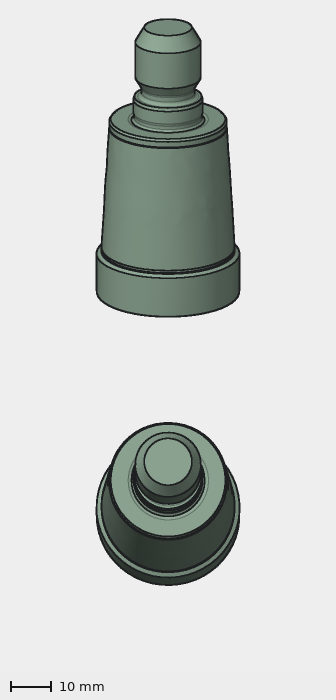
import cadquery as cq
import math

total_height = 69.0
housing_top = 45.1

head_radius = 16.0 / 2
neck_radius = 13.0 / 2
collar_radius = 17.0 / 2
foot_radius = 16.6 / 2

head_cone_angle = math.radians(30)
head_upper_edge = 65.2
head_lower_edge = 56.0
neck_upper_fillet = 0.8
neck_lower_fillet = 1.0
collar_top = 51.05
collar_bottom = 46.4
collar_top_chamfer = (0.3, 0.8)
collar_bottom_chamfer_height = 0.7
foot_fillet = 0.6

cap_radius = 28.8 / 2
cap_chamfer = (0.4, 0.6)
cap_groove_bottom = 42.85
cap_groove_width = 0.2
groove_depth = 0.1
taper_base_radius = 16.3
taper_bulge = 0.1
base_groove_top = 11.7
base_groove_bottom = 11.1
rim_radius = 34.9 / 2
shoulder_top = 10.8
shoulder_bottom = 10.2
rim_bottom_fillet = 0.4

dish_radius = 9.8
dish_depth = 0.2
seat_radius = foot_radius + foot_fillet
seat_height = housing_top - dish_depth

ARC_MID = math.sqrt(0.5)


def make_stud():
    """Revolved stud: coned head, filleted neck, collar and flared foot."""
    top_radius = head_radius - (total_height - head_upper_edge) * math.tan(head_cone_angle)

    blend_center_radius = neck_radius + neck_upper_fillet
    blend_radius = blend_center_radius - neck_upper_fillet * math.cos(head_cone_angle)
    blend_top = head_lower_edge - (head_radius - blend_radius) / math.tan(head_cone_angle)
    blend_bottom = blend_top - neck_upper_fillet * math.sin(head_cone_angle)
    half_angle = head_cone_angle / 2
    blend_mid = (
        blend_center_radius - neck_upper_fillet * math.cos(half_angle),
        blend_bottom + neck_upper_fillet * math.sin(half_angle),
    )

    fillet_mid = neck_lower_fillet * (1 - ARC_MID)
    foot_mid = foot_fillet * (1 - ARC_MID)
    chamfer_width, chamfer_height = collar_top_chamfer

    profile = (
        cq.Workplane("XZ")
        .moveTo(0, total_height)
        .lineTo(top_radius, total_height)
        .lineTo(head_radius, head_upper_edge)
        .lineTo(head_radius, head_lower_edge)
        .lineTo(blend_radius, blend_top)
        .threePointArc(blend_mid, (neck_radius, blend_bottom))
        .lineTo(neck_radius, collar_top + neck_lower_fillet)
        .threePointArc(
            (neck_radius + fillet_mid, collar_top + fillet_mid),
            (neck_radius + neck_lower_fillet, collar_top),
        )
        .lineTo(collar_radius - chamfer_width, collar_top)
        .lineTo(collar_radius, collar_top - chamfer_height)
        .lineTo(collar_radius, collar_bottom + collar_bottom_chamfer_height)
        .lineTo(foot_radius, collar_bottom)
        .lineTo(foot_radius, seat_height + foot_fillet)
        .threePointArc(
            (foot_radius + foot_mid, seat_height + foot_mid),
            (seat_radius, seat_height),
        )
        .lineTo(0, seat_height)
        .close()
    )
    return profile.revolve(360, (0, 0, 0), (0, 1, 0))


def make_housing():
    """Revolved housing: dished cap, tapered barrel and wide bottom rim."""
    chamfer_width, chamfer_height = cap_chamfer
    taper_mid = (
        (cap_radius + taper_base_radius) / 2 + taper_bulge,
        (cap_groove_bottom + base_groove_top) / 2,
    )
    cap_groove_top = cap_groove_bottom + cap_groove_width
    cap_groove_radius = cap_radius - groove_depth
    base_groove_radius = taper_base_radius - groove_depth
    fillet_mid = rim_bottom_fillet * (1 - ARC_MID)

    profile = (
        cq.Workplane("XZ")
        .moveTo(0, seat_height)
        .lineTo(seat_radius, seat_height)
        .lineTo(dish_radius, housing_top)
        .lineTo(cap_radius - chamfer_width, housing_top)
        .lineTo(cap_radius, housing_top - chamfer_height)
        .lineTo(cap_radius, cap_groove_top)
        .lineTo(cap_groove_radius, cap_groove_top)
        .lineTo(cap_groove_radius, cap_groove_bottom)
        .lineTo(cap_radius, cap_groove_bottom)
        .threePointArc(taper_mid, (taper_base_radius, base_groove_top))
        .lineTo(base_groove_radius, base_groove_top)
        .lineTo(base_groove_radius, base_groove_bottom)
        .lineTo(taper_base_radius, base_groove_bottom)
        .lineTo(taper_base_radius, shoulder_top)
        .lineTo(rim_radius, shoulder_bottom)
        .lineTo(rim_radius, rim_bottom_fillet)
        .threePointArc(
            (rim_radius - fillet_mid, fillet_mid),
            (rim_radius - rim_bottom_fillet, 0),
        )
        .lineTo(0, 0)
        .close()
    )
    return profile.revolve(360, (0, 0, 0), (0, 1, 0))


stud = make_stud()
housing = make_housing()
result = cq.Compound.makeCompound([stud.val(), housing.val()])